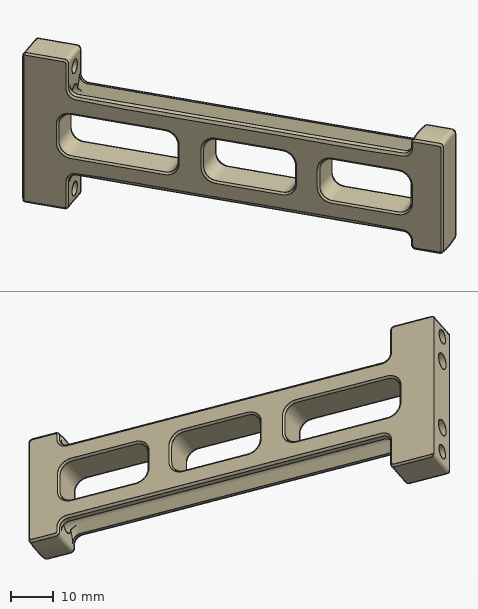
import cadquery as cq
import math

length = 105.8
thickness = 9.0
block_height = 39.4

block_end = 11.5
flange_start = 97.8
beam_half_height = 10.7
flange_half_height = 14.8
crown_radius = 20.0
corner_radius = 1.1
inner_fillet = 2.1
face_chamfer = 0.48

window_spans = [(9.1, 39.0), (45.5, 68.6), (74.7, 97.7)]
window_height = 10.9
window_radius = 3.2

bore_radius = 2.0
bore_height = 9.3
bore_end = 102.1

lip_angle = 60
lip_bite_angle = 5

screw_diameter = 3.5
screw_height = 16.1

beam_start = block_end + inner_fillet
beam_end = flange_start - inner_fillet
fillet_height = beam_half_height + inner_fillet


def make_block():
    block = cq.Workplane("XY").box(block_end, thickness, block_height, centered=(False, True, True))
    return block.edges("|Y and >X").fillet(corner_radius)


def make_crowned_half():
    """Upper half of beam and flange, turned about an axis below centre so the top is crowned."""
    axis_height = beam_half_height - crown_radius
    block_overlap = block_end - corner_radius
    inset = inner_fillet * (1 - math.sqrt(0.5))
    corner_inset = corner_radius * (1 - math.sqrt(0.5))
    corner_height = flange_half_height - corner_radius
    outline = (
        cq.Workplane("XZ")
        .moveTo(block_overlap, 0)
        .lineTo(block_overlap, fillet_height)
        .lineTo(block_end, fillet_height)
        .threePointArc((block_end + inset, beam_half_height + inset), (beam_start, beam_half_height))
        .lineTo(beam_end, beam_half_height)
        .threePointArc((flange_start - inset, beam_half_height + inset), (flange_start, fillet_height))
        .lineTo(flange_start, corner_height)
        .threePointArc(
            (flange_start + corner_inset, flange_half_height - corner_inset),
            (flange_start + corner_radius, flange_half_height),
        )
        .lineTo(length - corner_radius, flange_half_height)
        .threePointArc(
            (length - corner_inset, flange_half_height - corner_inset),
            (length, corner_height),
        )
        .lineTo(length, axis_height)
        .lineTo(block_overlap, axis_height)
        .close()
    )
    turned = outline.revolve(360, (0, axis_height, 0), (1, axis_height, 0))
    upper = cq.Workplane("XY").box(length, thickness, block_height / 2, centered=(False, True, False))
    return turned.intersect(upper)


def make_windows():
    windows = cq.Workplane("XY")
    for start, end in window_spans:
        window = (
            cq.Workplane("XY")
            .box(end - start, thickness, window_height)
            .edges("|Y")
            .fillet(window_radius)
            .translate(((start + end) / 2, 0, 0))
        )
        windows = windows.add(window)
    return windows.combine()


def make_hole(radius, height, depth):
    """Cylinder along X from the outer face of the block."""
    return cq.Workplane("YZ", origin=(0, 0, height)).circle(radius).extrude(depth)


def draw_lip_section(x):
    """Section across the beam: lips rising from the bore wall, open up to the fillet centre."""
    slope = math.radians(lip_angle)
    axis_distance = bore_radius * math.cos(math.radians(lip_bite_angle))
    floor = axis_distance * math.sin(slope)
    floor_height = bore_height - axis_distance * math.cos(slope)
    mouth = floor + (fillet_height - floor_height) / math.tan(slope)
    return (
        cq.Workplane("YZ", origin=(x, 0, 0))
        .moveTo(-floor, floor_height)
        .lineTo(floor, floor_height)
        .lineTo(mouth, fillet_height)
        .lineTo(-mouth, fillet_height)
        .close()
    )


def make_lips():
    """Lip cutter that follows the beam top and swings up both end fillets."""
    straight = draw_lip_section(beam_start).extrude(beam_end - beam_start)
    pivot_start = (0, fillet_height, 0)
    pivot_end = (1.1, fillet_height, 0)
    at_flange = draw_lip_section(beam_end).revolve(90, pivot_end, pivot_start)
    at_block = draw_lip_section(beam_start).revolve(90, pivot_start, pivot_end)
    between = (
        cq.Workplane("XY")
        .box(flange_start - block_end, thickness, block_height, centered=(False, True, True))
        .translate((block_end, 0, 0))
    )
    return straight.union(at_flange).union(at_block).intersect(between)


upper_half = make_crowned_half()
body = make_block().union(upper_half).union(upper_half.mirror("XY"))
body = body.cut(make_windows())

front_edges = body.faces("<Y").edges()
back_edges = body.faces(">Y").edges("not <X")
body = front_edges.add(back_edges).chamfer(face_chamfer)
body = body.edges("|Y and <X").fillet(corner_radius)

upper_cuts = [
    make_hole(bore_radius, bore_height, bore_end),
    make_hole(screw_diameter / 2, screw_height, block_end),
    make_lips(),
]
for cutter in upper_cuts:
    body = body.cut(cutter).cut(cutter.mirror("XY"))

result = body